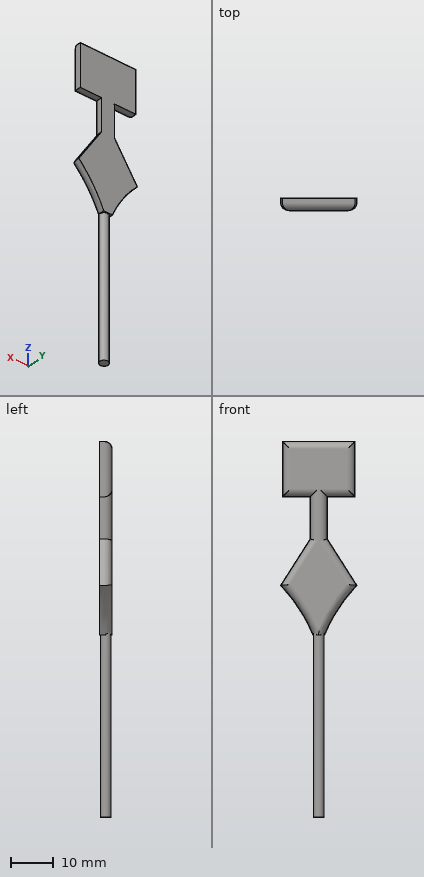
import math

import cadquery as cq

thickness = 3.0
rod_diameter = 2.5
rod_length = 42.8
rod_overlap = 0.5
total_length = 88.3
head_width = 17.0
head_height = 13.0
stem_width = 4.0
stem_length = 9.9
diamond_width = 17.88
diamond_upper_height = 10.9
diamond_bottom_width = 2.7
lower_side_radius = 38.0

front_rounding = 1.8
rounding_inset_at_rod = 1.6
rounding_depth_at_rod = 2.7

clearance = 1.0

bottom_margin = 0.25

front_y = -thickness / 2
back_y = thickness / 2
head_bottom_z = total_length - head_height
stem_bottom_z = head_bottom_z - stem_length
corner_x = diamond_width / 2
corner_z = stem_bottom_z - diamond_upper_height
bottom_x = diamond_bottom_width / 2

chord = math.hypot(corner_x - bottom_x, corner_z - rod_length)
chord_angle = math.atan2(corner_z - rod_length, corner_x - bottom_x)
centre_distance = math.sqrt(lower_side_radius**2 - (chord / 2) ** 2)
arc_centre_x = (corner_x + bottom_x) / 2 + centre_distance * math.sin(chord_angle)
arc_centre_z = (corner_z + rod_length) / 2 - centre_distance * math.cos(chord_angle)
corner_angle = math.atan2(corner_z - arc_centre_z, corner_x - arc_centre_x)
bottom_angle = math.atan2(rod_length - arc_centre_z, bottom_x - arc_centre_x)

end_angle = bottom_angle + clearance / lower_side_radius


def arc_point(angle):
    """X and Z of a point on the arc of the right lower side."""
    x = arc_centre_x + lower_side_radius * math.cos(angle)
    z = arc_centre_z + lower_side_radius * math.sin(angle)
    return (x, z)


def back_plane():
    """Sketch plane on the flat back, extruding towards the front."""
    return cq.Workplane("XZ", origin=(0, back_y, 0))


def make_head():
    """Rectangular head with all four front edges rounded."""
    head = back_plane().center(0, total_length - head_height / 2).rect(head_width, head_height)
    return head.extrude(thickness).faces("<Y").edges().fillet(front_rounding)


def make_stem():
    """Stem reaching into the head above and the diamond below, with rounded long front edges."""
    top_z = head_bottom_z + front_rounding
    bottom_z = stem_bottom_z - front_rounding
    stem = back_plane().center(0, (top_z + bottom_z) / 2).rect(stem_width, top_z - bottom_z)
    return stem.extrude(thickness).faces("<Y").edges("|Z").fillet(front_rounding)


def rounding_section(angle, inset, depth):
    """Wire across the lower side enclosing what lies outside its rounded profile there."""
    x, z = arc_point(angle)
    inward = cq.Vector(math.cos(angle), 0, math.sin(angle))
    towards_back = cq.Vector(0, 1, 0)
    plane = cq.Plane(origin=(x, front_y, z), xDir=inward, normal=inward.cross(towards_back))
    section = (
        cq.Workplane(plane)
        .moveTo(inset, depth)
        .ellipseArc(inset, depth, 180, 270, startAtCurrent=False)
        .lineTo(inset, -clearance)
        .lineTo(-clearance, -clearance)
        .lineTo(-clearance, thickness + clearance)
        .lineTo(0, thickness + clearance)
        .close()
    )
    return section.val()


def make_lower_side_cutter():
    """Tool shaping and rounding the right lower side, changing steadily from the corner to the rod."""
    path = (
        cq.Workplane("XZ", origin=(0, front_y, 0))
        .moveTo(*arc_point(corner_angle))
        .threePointArc(arc_point((corner_angle + end_angle) / 2), arc_point(end_angle))
    )
    sections = [
        rounding_section(corner_angle, front_rounding, front_rounding),
        rounding_section(end_angle, rounding_inset_at_rod, rounding_depth_at_rod),
    ]
    return cq.Workplane(cq.Solid.sweep_multi(sections, path.val()))


def make_diamond_side():
    """Plate bounded on the right by the diamond's two sides and reaching far to the left."""
    slope = diamond_upper_height / (corner_x - stem_width / 2)
    peak_z = corner_z + slope * corner_x
    plate = (
        back_plane()
        .moveTo(-corner_x, rod_length)
        .lineTo(bottom_x + bottom_margin, rod_length)
        .lineTo(corner_x, corner_z)
        .lineTo(-corner_x, 2 * peak_z - corner_z)
        .close()
        .extrude(thickness)
    )
    upper_edge = cq.selectors.NearestToPointSelector((0, front_y, peak_z))
    plate = plate.faces("<Y").edges(upper_edge).fillet(front_rounding)
    return plate.cut(make_lower_side_cutter())


def make_diamond():
    """Diamond plate, the overlap of its right side and the mirror image of it."""
    right_side = make_diamond_side()
    left_side = right_side.mirror("YZ")
    return right_side.intersect(left_side)


def make_rod():
    """Round rod whose top end is buried in the diamond."""
    return cq.Workplane("XY").circle(rod_diameter / 2).extrude(rod_length + rod_overlap)


result = make_head().union(make_stem()).union(make_diamond()).union(make_rod())